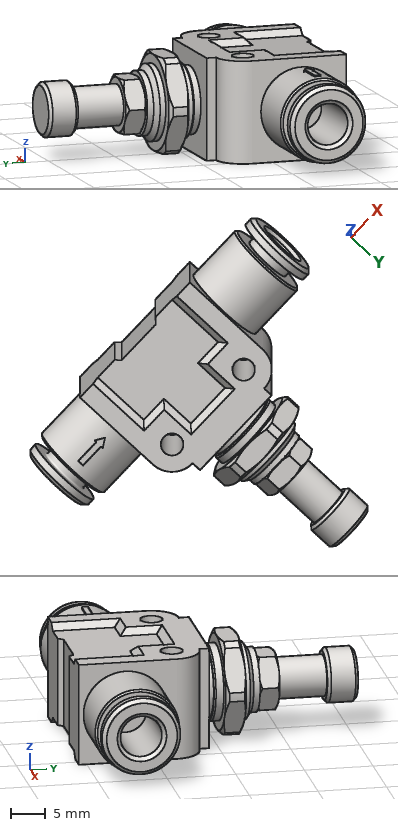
import cadquery as cq
import math


body_thickness = 15.0
body_width = 23.0
body_bottom = -6.8
neck_top = 13.0
hole_spacing = 14.95
hole_diameter = 3.2
ear_radius = (body_width - hole_spacing) / 2
hole_y = 7.5
shoulder_y = hole_y + ear_radius

pocket_depth = 1.0
pocket_foot_width = 17.5
pocket_step_y = 3.2
pocket_stem_width = 9.1
pocket_top_y = 8.5
pocket_wall_angle = 45

relief_width = 8.5
relief_inner_width = 7.17
relief_depth = 0.75

overall_length = 47.2
port_radius = 6.15
port_end_x = 20.45
port_chamfer = 0.3
sleeve_radius = 3.55
sleeve_fillet = 0.3
flange_radius = 5.7
flange_thickness = 1.65
flange_chamfer = 0.55
bore_radius = 3.0
bore_floor_x = body_width / 2
bore_chamfer = 0.55

arrow_tail_x = -18.6
arrow_neck_x = -14.8
arrow_tip_x = -13.5
arrow_shaft_width = 0.95
arrow_head_width = 1.6
arrow_height = 0.2

stem_neck_radius = 5.0
thread_start = 14.1
thread_radius = 5.6
thread_chamfer = 0.25
cone_start = 19.35
cone_end = 20.0
tip_radius = 4.7
nut_height = 3.0
small_nut_start = 20.95
small_nut_flats = 8.0
small_nut_corner_radius = small_nut_flats / math.sqrt(3)
large_nut_start = 15.5
large_nut_flats = 14.0
large_nut_corner_radius = 7.75
nut_chamfer_angle = 30
rod_radius = 3.0
knob_start = 31.0
knob_end = 35.5
knob_radius = 4.0
knob_chamfer = 0.45


def make_body():
    """Plate with ears rounded about the holes and a neck as wide as the hole spacing."""
    half_body = body_width / 2
    half_spacing = hole_spacing / 2
    half_relief = relief_width / 2
    half_inner = relief_inner_width / 2
    relief_y = body_bottom + relief_depth
    arc_offset = ear_radius * math.sqrt(0.5)
    outline = (
        cq.Workplane("XY")
        .moveTo(-half_body, body_bottom)
        .lineTo(-half_relief, body_bottom)
        .lineTo(-half_inner, relief_y)
        .lineTo(half_inner, relief_y)
        .lineTo(half_relief, body_bottom)
        .lineTo(half_body, body_bottom)
        .lineTo(half_body, hole_y)
        .threePointArc(
            (half_spacing + arc_offset, hole_y + arc_offset), (half_spacing, shoulder_y)
        )
        .lineTo(half_spacing, neck_top)
        .lineTo(-half_spacing, neck_top)
        .lineTo(-half_spacing, shoulder_y)
        .threePointArc(
            (-half_spacing - arc_offset, hole_y + arc_offset), (-half_body, hole_y)
        )
        .close()
    )
    return outline.extrude(body_thickness / 2, both=True)


def make_pocket_bar(width, top_y):
    """Tapered rectangular cutter for the upper face, open at the bottom edge."""
    open_end = body_bottom - 2 * pocket_depth
    return (
        cq.Workplane("XY", origin=(0, (top_y + open_end) / 2, body_thickness / 2))
        .rect(width, top_y - open_end)
        .extrude(-pocket_depth, taper=pocket_wall_angle)
    )


def make_pocket():
    """T-shaped cutter: a wide foot crossed by a narrower, longer stem."""
    foot = make_pocket_bar(pocket_foot_width, pocket_step_y)
    stem = make_pocket_bar(pocket_stem_width, pocket_top_y)
    return foot.union(stem)


def make_mounting_holes():
    return (
        cq.Workplane("XY")
        .pushPoints([(-hole_spacing / 2, hole_y), (hole_spacing / 2, hole_y)])
        .circle(hole_diameter / 2)
        .extrude(body_thickness, both=True)
    )


def revolve_about_y(profile):
    return cq.Workplane("XY").polyline(profile).close().revolve(360, (0, 0, 0), (0, 1, 0))


def make_port():
    """Right-hand port with its release collar, turned about the X axis."""
    end_x = overall_length / 2
    flange_x = end_x - flange_thickness
    arc_inset = sleeve_fillet * (1 - math.sqrt(0.5))
    return (
        cq.Workplane("XY")
        .moveTo(body_width / 2, 0)
        .lineTo(body_width / 2, port_radius)
        .lineTo(port_end_x - port_chamfer, port_radius)
        .lineTo(port_end_x, port_radius - port_chamfer)
        .lineTo(port_end_x, sleeve_radius)
        .lineTo(flange_x - sleeve_fillet, sleeve_radius)
        .threePointArc(
            (flange_x - arc_inset, sleeve_radius + arc_inset),
            (flange_x, sleeve_radius + sleeve_fillet),
        )
        .lineTo(flange_x, flange_radius)
        .lineTo(end_x - flange_chamfer, flange_radius)
        .lineTo(end_x, flange_radius - flange_chamfer)
        .lineTo(end_x, 0)
        .close()
        .revolve(360, (0, 0, 0), (1, 0, 0))
    )


def make_bore():
    """Blind tube socket of the right-hand port with a chamfered mouth."""
    end_x = overall_length / 2
    return (
        cq.Workplane("XY")
        .polyline([
            (bore_floor_x, 0),
            (bore_floor_x, bore_radius),
            (end_x - bore_chamfer, bore_radius),
            (end_x, bore_radius + bore_chamfer),
            (end_x, 0),
        ])
        .close()
        .revolve(360, (0, 0, 0), (1, 0, 0))
    )


def make_arrows():
    """Raised arrows that follow the port's curve on its +Z and -Z sides."""
    half_shaft = arrow_shaft_width / 2
    half_head = arrow_head_width / 2
    arrow_radius = port_radius + arrow_height
    prism = (
        cq.Workplane("XY")
        .polyline([
            (arrow_tail_x, -half_shaft),
            (arrow_neck_x, -half_shaft),
            (arrow_neck_x, -half_head),
            (arrow_tip_x, 0),
            (arrow_neck_x, half_head),
            (arrow_neck_x, half_shaft),
            (arrow_tail_x, half_shaft),
        ])
        .close()
        .extrude(arrow_radius, both=True)
    )
    inner_radius = port_radius - arrow_height
    ring = (
        cq.Workplane("YZ", origin=(arrow_tail_x, 0, 0))
        .circle(arrow_radius)
        .circle(inner_radius)
        .extrude(arrow_tip_x - arrow_tail_x)
    )
    return prism.intersect(ring)


def make_stem():
    """Turned stem from inside the body to the knob, as (radius, y) points."""
    return revolve_about_y([
        (0, 0),
        (stem_neck_radius, 0),
        (stem_neck_radius, thread_start),
        (thread_radius - thread_chamfer, thread_start),
        (thread_radius, thread_start + thread_chamfer),
        (thread_radius, cone_start),
        (tip_radius, cone_end),
        (tip_radius, small_nut_start),
        (rod_radius, small_nut_start),
        (rod_radius, knob_start),
        (knob_radius - knob_chamfer, knob_start),
        (knob_radius, knob_start + knob_chamfer),
        (knob_radius, knob_end - knob_chamfer),
        (knob_radius - knob_chamfer, knob_end),
        (0, knob_end),
    ])


def make_nut(start, across_flats, corner_radius):
    """Hex nut with flats facing +Z and -Z, turned to a double-chamfered blank."""
    end = start + nut_height
    across_corners = across_flats / math.cos(math.pi / 6)
    hex_prism = (
        cq.Workplane("XZ", origin=(0, start, 0))
        .polygon(6, across_corners)
        .extrude(-nut_height)
    )
    flat_radius = across_flats / 2
    drop = (corner_radius - flat_radius) * math.tan(math.radians(nut_chamfer_angle))
    blank = revolve_about_y([
        (0, start),
        (flat_radius, start),
        (corner_radius, start + drop),
        (corner_radius, end - drop),
        (flat_radius, end),
        (0, end),
    ])
    return hex_prism.intersect(blank)


body = make_body()
pocket = make_pocket()
body = body.cut(pocket).cut(pocket.mirror("XY"))
body = body.cut(make_mounting_holes())

port = make_port()
bore = make_bore()
valve = body.union(port).union(port.mirror("YZ")).union(make_arrows())
valve = valve.union(make_stem())
valve = valve.union(make_nut(large_nut_start, large_nut_flats, large_nut_corner_radius))
valve = valve.union(make_nut(small_nut_start, small_nut_flats, small_nut_corner_radius))

result = valve.cut(bore).cut(bore.mirror("YZ"))